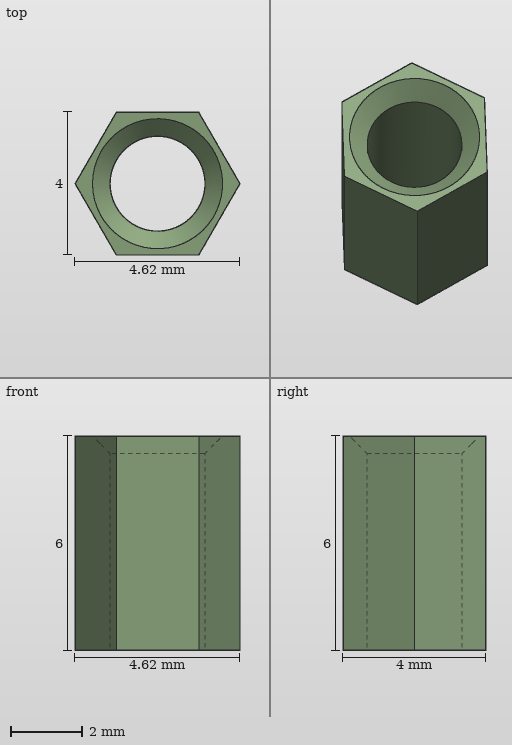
import cadquery as cq
import math

height = 6
across_flats = 4.0
bore_diameter = 2.65
countersink_diameter = 3.64
countersink_angle = 90

across_corners = across_flats / math.cos(math.pi / 6)

body = cq.Workplane("XY").polygon(6, across_corners).extrude(height)

result = (
    body.faces(">Z")
    .workplane()
    .cskHole(bore_diameter, countersink_diameter, countersink_angle)
)